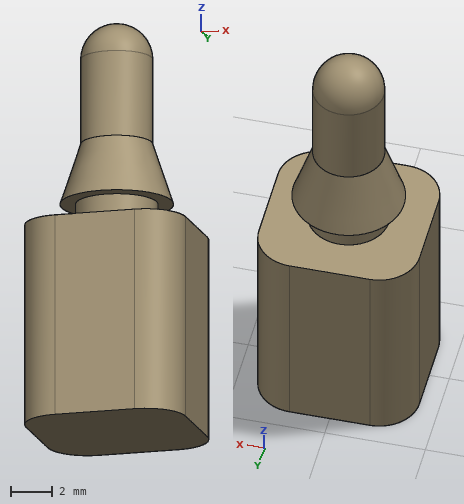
import cadquery as cq

total_height = 20.4

base_width = 8.0
base_height = 10.0
corner_radius = base_width / 4

neck_radius = base_width / 4
neck_height = 1.4
barb_radius = 2.75
barb_height = 3.0
pin_radius = 1.75

barb_bottom = base_height + neck_height
barb_top = barb_bottom + barb_height
dome_bottom = total_height - pin_radius


def make_base():
    """Square block standing on Z = 0."""
    block = cq.Workplane("XY").rect(base_width, base_width).extrude(base_height)
    return block.edges("|Z").fillet(corner_radius)


def make_stud():
    """Neck, conical barb and round-ended pin, revolved about Z."""
    profile = (
        cq.Workplane("XZ")
        .moveTo(0, base_height)
        .lineTo(neck_radius, base_height)
        .lineTo(neck_radius, barb_bottom)
        .lineTo(barb_radius, barb_bottom)
        .lineTo(pin_radius, barb_top)
        .lineTo(pin_radius, dome_bottom)
        .radiusArc((0, total_height), -pin_radius)
        .close()
    )
    return profile.revolve(360, (0, 0, 0), (0, 1, 0))


result = make_base().union(make_stud())